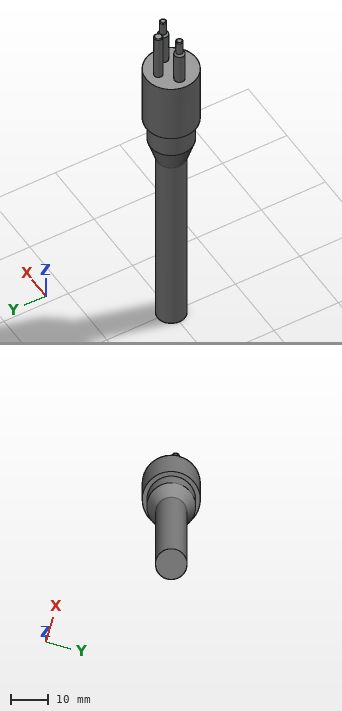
import cadquery as cq

total_length = 108.5

body_diameter = 15.5
sleeve_diameter = 13.0
cable_diameter = 8.5
pin_length = 14.5
body_length = 19.0
sleeve_length = 7.8
taper_length = 7.2

contact_offset = 4.2
contact_diameter = 3.0
contact_tip_diameter = 2.0
contact_tip_length = 4.3
contact_taper_length = 0.7

earth_offset = 4.0
earth_diameter = 2.5

pin_chamfer = 0.27

body_top = total_length - pin_length
body_bottom = body_top - body_length
sleeve_bottom = body_bottom - sleeve_length
cable_top = sleeve_bottom - taper_length


def revolved(profile):
    """Turn a closed (radius, height) outline around the Z axis."""
    return cq.Workplane("XZ").polyline(profile).close().revolve(360, (0, 0, 0), (0, 1, 0))


def make_housing():
    """Cable, tapered strain relief, sleeve and body in one outline."""
    return revolved([
        (0, 0),
        (cable_diameter / 2, 0),
        (cable_diameter / 2, cable_top),
        (sleeve_diameter / 2, sleeve_bottom),
        (sleeve_diameter / 2, body_bottom),
        (body_diameter / 2, body_bottom),
        (body_diameter / 2, body_top),
        (0, body_top),
    ])


def make_contact():
    """Contact pin with a narrow bevelled tip above a short taper."""
    tip_bottom = total_length - contact_tip_length
    shoulder = tip_bottom - contact_taper_length
    return revolved([
        (0, body_top),
        (contact_diameter / 2, body_top),
        (contact_diameter / 2, shoulder),
        (contact_tip_diameter / 2, tip_bottom),
        (contact_tip_diameter / 2, total_length - pin_chamfer),
        (contact_tip_diameter / 2 - pin_chamfer, total_length),
        (0, total_length),
    ])


def make_earth_pin():
    """Plain round pin with a bevelled end."""
    return (
        cq.Workplane("XY", origin=(0, earth_offset, body_top))
        .circle(earth_diameter / 2)
        .extrude(pin_length)
        .faces(">Z")
        .chamfer(pin_chamfer)
    )


result = make_housing().union(make_earth_pin())
for side in (-1, 1):
    result = result.union(make_contact().translate((side * contact_offset, 0, 0)))